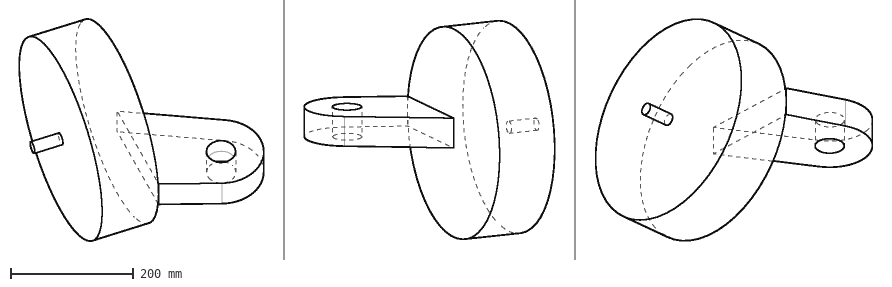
import cadquery as cq
import math

overall_length = 393.5
overall_depth = 342.0
disc_diameter = 350.0
disc_thickness = 100.0
pin_diameter = 20.0
pin_length = 50.0
arm_thickness = 50.0
arm_end_radius = 70.0
eye_diameter = 47.5

disc_radius = disc_diameter / 2
eye_x = overall_length - disc_radius - arm_end_radius
eye_y = overall_depth - pin_length - disc_thickness - arm_end_radius


def tangent_point(start_x, side):
    """Touch point on the arm end of a line from (start_x, 0); side is +1 for left, -1 for right."""
    run = start_x - eye_x
    distance = math.hypot(run, eye_y)
    toward_start = math.atan2(-eye_y, run)
    angle = toward_start - side * math.acos(arm_end_radius / distance)
    return (
        eye_x + arm_end_radius * math.cos(angle),
        eye_y + arm_end_radius * math.sin(angle),
    )


def make_cylinder_forward(diameter, length, start_y):
    """Cylinder on the disc axis, running from start_y toward -Y."""
    return (
        cq.Workplane("XZ", origin=(0, start_y, 0))
        .circle(diameter / 2)
        .extrude(length)
    )


def make_arm():
    """Flat arm from the back of the disc, with a round end and an eye hole."""
    plate = (
        cq.Workplane("XY")
        .moveTo(0, 0)
        .lineTo(disc_radius, 0)
        .lineTo(*tangent_point(disc_radius, -1))
        .threePointArc((eye_x, eye_y + arm_end_radius), tangent_point(0, 1))
        .close()
        .extrude(arm_thickness / 2, both=True)
    )
    eye = (
        cq.Workplane("XY")
        .center(eye_x, eye_y)
        .circle(eye_diameter / 2)
        .extrude(arm_thickness, both=True)
    )
    return plate.cut(eye)


disc = make_cylinder_forward(disc_diameter, disc_thickness, 0)
pin = make_cylinder_forward(pin_diameter, pin_length, -disc_thickness)
result = disc.union(pin).union(make_arm())